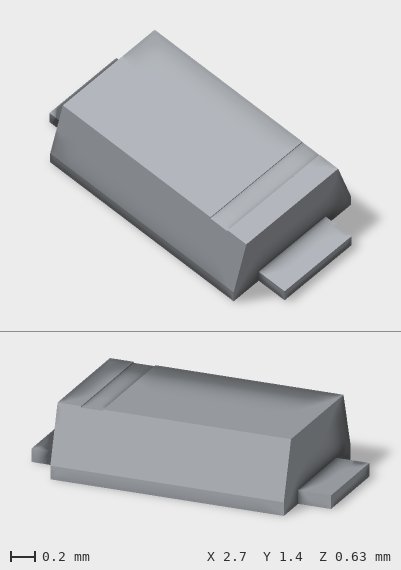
import cadquery as cq

body_length = 2.105
body_width = 1.4
top_width = 1.1
height = 0.63
base_height = 0.122

overall_length = 2.7
lead_width = 0.802

band_start = 0.643
band_width = 0.197
band_depth = 0.01


def make_body():
    """Extrude the end profile, symmetric about Y = 0, along X."""
    half_base = body_width / 2
    half_top = top_width / 2
    profile = [
        (-half_base, 0),
        (half_base, 0),
        (half_base, base_height),
        (half_top, height),
        (-half_top, height),
        (-half_base, base_height),
    ]
    return cq.Workplane("YZ").polyline(profile).close().extrude(body_length / 2, both=True)


def make_leads():
    """One strip through the body forms the leads at both ends."""
    return cq.Workplane("XY").box(
        overall_length, lead_width, base_height, centered=(True, True, False)
    )


def make_band_cutter():
    """Block that removes the polarity band across the full width."""
    return (
        cq.Workplane("XY")
        .box(band_width, body_width, band_depth, centered=(False, True, False))
        .translate((band_start, 0, height - band_depth))
    )


result = make_body().union(make_leads()).cut(make_band_cutter())